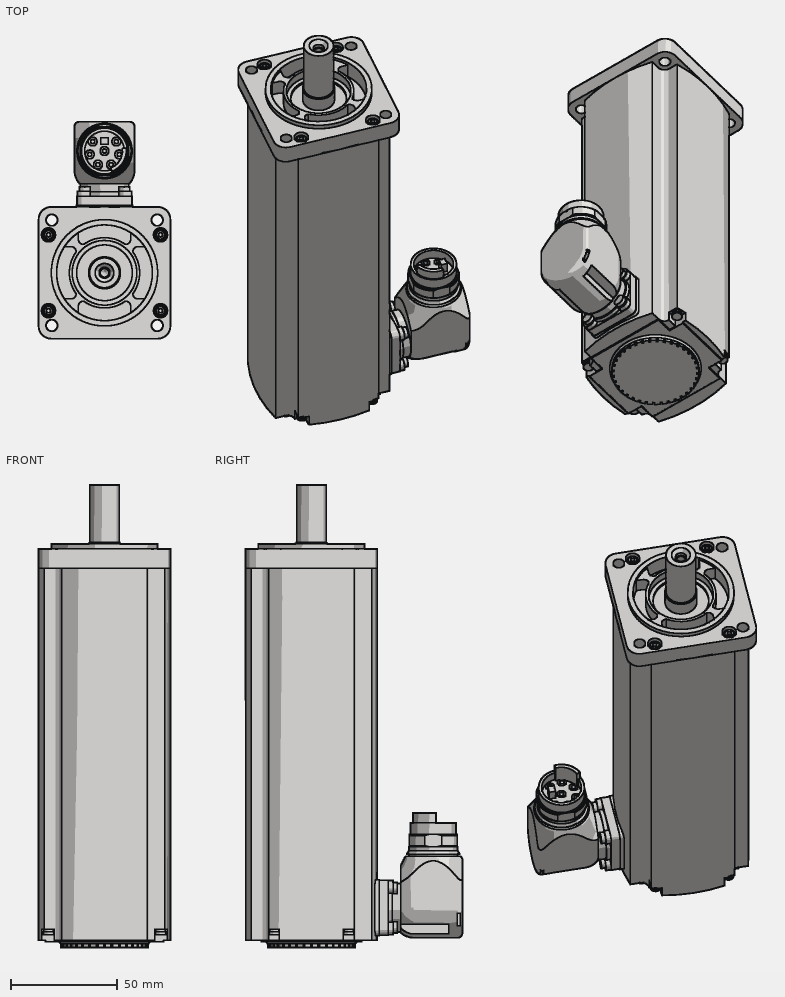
import cadquery as cq
import math


shaft_diameter = 14.0
shaft_length = 30.0
shaft_shoulder_diameter = 15.0
shaft_shoulder_height = 3.0
shoulder_chamfer = 0.45
center_cone_diameter = 8.8
center_bore_diameter = 5.1
center_cone_depth = 1.6
center_bore_depth = 3.5
center_drill_diameter = 4.13
center_drill_depth = 13.0
center_tip_depth = 14.2

flange_width = 62.0
flange_thickness = 9.2
flange_corner_radius = 6.0
mounting_hole_diameter = 5.3
mounting_circle_diameter = 70.0

pilot_diameter = 50.0
pilot_height = 2.3
recess_diameter = 45.0
recess_depth = 1.5
pocket_half_width = 12.3
pocket_end_x = 15.8
pocket_corner_radius = 2.5
pocket_depth = 9.0
hub_bore_radius = 15.2
hub_bore_depth = 6.0
seal_bore_radius = 13.1
seal_bore_depth = 7.0

tie_screw_x = 26.3
tie_screw_y = 17.8
tie_screw_bore = 6.6
tie_screw_bore_depth = 3.0
tie_screw_head = 5.2
tie_screw_head_drop = 0.8
tie_screw_head_chamfer = 0.6
tie_screw_socket = 1.99

total_height = 217.3
bottom_z = shaft_length - total_height
body_half_width = flange_width / 2
panel_half_width = 20.0
panel_edge_offset = 28.3
corner_fillet = 3.6
cap_height = 2.7
end_plate_thickness = 0.7
end_plate_half_width = 27.8
body_bottom_z = bottom_z + cap_height + end_plate_thickness

cap_diameter = 41.0
cap_top_diameter = 43.0
cap_taper_height = 1.0
cap_groove_count = 36
cap_groove_width = 0.8
cap_groove_depth = 1.0

foot_notch_width = 5.0
foot_notch_inner_x = 23.5
foot_notch_height = 5.3
foot_screw_diameter = 4.3
foot_screw_length = 2.6
foot_head_diameter = 4.8
foot_head_thickness = 1.2

housing_radius = 14.2
housing_outer_y = 71.0
housing_inner_y = 41.9
socket_y = 57.2
outlet_z = bottom_z + 18.7
housing_top_z = outlet_z + 24.2
housing_bottom_z = outlet_z - housing_radius
housing_edge_radius = 2.4
housing_taper_y = 48.0
housing_inner_half_width = 11.8

dome_top_radius = 13.0
dome_shoulder_radius = 13.6
dome_shoulder_drop = 1.0
dome_base_radius = 24.0
dome_base_drop = 21.5

tool_slot_y = (housing_inner_y, 64.4)
tool_slot_x = 7.0
tool_slot_levels = (-12.3, -7.7)
latch_slot_y = (68.5, 69.9)
latch_slot_levels = (-8.5, -2.7)
latch_slot_depth = 0.8

base_width = 26.0
base_corner_radius = 2.7
base_start_y = 28.0
gasket_end_y = 31.8
gasket_overhang = 0.2
base_end_y = 36.0
lug_end_y = 38.4
lug_inset = 0.2
lug_size = 6.0
lug_corner_radius = 2.5
outlet_screw_diameter = 5.3
outlet_screw_offset = 9.3
outlet_screw_end_y = 40.4
neck_diameter = 22.9
neck_ring_diameter = 24.4
neck_ring_end_y = 38.0

collar_diameter = 25.0
collar_base_height = 1.0
collar_taper_top = 2.6
collar_neck_height = 4.5
nut_diameter = 24.1
nut_flat_width = 22.7
nut_height = 5.7
nut_chamfer = 0.5
shell_diameter = 21.55
shell_height = 5.5
shell_bore_diameter = 18.6
shell_bore_depth = 5.0
shell_top_z = housing_top_z + collar_neck_height + nut_height + shell_height

pin_count = 7
pin_circle_radius = 7.1
pin_recess_diameter = 4.13
pin_recess_depth = 4.0
pin_diameter = 1.99
key_width = 3.6
key_length = 3.0
key_offset = 4.7
guard_outer_radius = 10.2
guard_inner_radius = 8.4
guard_height = 4.6
guard_start_angle = math.radians(-70)
guard_end_angle = math.radians(8)


def cylinder(diameter, z_low, z_high, x=0.0, y=0.0):
    """Cylinder along Z between two levels."""
    disc = cq.Workplane("XY", origin=(x, y, z_low)).circle(diameter / 2)
    return disc.extrude(z_high - z_low)


def block(x_range, y_range, z_range):
    """Axis-aligned box given by its limits."""
    size = [high - low for low, high in (x_range, y_range, z_range)]
    corner = (x_range[0], y_range[0], z_range[0])
    return cq.Workplane("XY").box(*size, centered=False).translate(corner)


def outlet_plane(y):
    """Sketch plane across the connector outlet; extrusions run toward +Y."""
    return cq.Workplane(cq.Plane(origin=(0, y, outlet_z), xDir=(-1, 0, 0), normal=(0, 1, 0)))


def polar(radius, angle):
    """Point at a radius and an angle in radians."""
    return radius * math.cos(angle), radius * math.sin(angle)


def four_corners(x, y):
    """The point and its mirror images in both axes."""
    return [(x, y), (-x, y), (-x, -y), (x, -y)]


def make_body():
    """Extruded body: four bulged panels joined by filleted re-entrant corners."""
    inner = panel_half_width
    edge = panel_edge_offset
    fillet_end = inner + corner_fillet
    fillet_mid = fillet_end - corner_fillet * math.sqrt(0.5)

    def turned(x, y, quarter):
        for _ in range(quarter):
            x, y = -y, x
        return x, y

    outline = cq.Workplane("XY", origin=(0, 0, body_bottom_z)).moveTo(edge, -inner)
    for quarter in range(4):
        outline = outline.threePointArc(turned(body_half_width, 0, quarter), turned(edge, inner, quarter))
        outline = outline.lineTo(*turned(fillet_end, inner, quarter))
        outline = outline.threePointArc(
            turned(fillet_mid, fillet_mid, quarter), turned(inner, fillet_end, quarter)
        )
        outline = outline.lineTo(*turned(inner, edge, quarter))
    return outline.close().extrude(-flange_thickness - body_bottom_z)


def cut_foot_notches(body):
    """Open the panel ends at the four lower tie screws and leave the screws standing."""
    notch_top = body_bottom_z + foot_notch_height
    notch_y = panel_half_width - foot_notch_width / 2
    screw_low = notch_top - foot_screw_length
    for x, y in four_corners(1, 1):
        notch = block(
            (foot_notch_inner_x, body_half_width),
            (notch_y - foot_notch_width / 2, notch_y + foot_notch_width / 2),
            (body_bottom_z, notch_top),
        )
        if x < 0:
            notch = notch.mirror("YZ")
        if y < 0:
            notch = notch.mirror("XZ")
        body = body.cut(notch)
        place = (x * tie_screw_x, y * notch_y)
        body = body.union(cylinder(foot_screw_diameter, screw_low, notch_top, *place))
        head_top = screw_low + foot_head_thickness
        body = body.union(cylinder(foot_head_diameter, screw_low, head_top, *place))
    return body


def make_end_cap():
    """Thin end plate and the round cap with a grooved rim under it."""
    plate_low = bottom_z + cap_height
    plate = make_end_plate(plate_low)
    cone = (
        cq.Workplane("XY", origin=(0, 0, plate_low))
        .circle(cap_top_diameter / 2)
        .workplane(offset=-cap_taper_height)
        .circle(cap_diameter / 2)
        .loft()
    )
    rim_top = plate_low - cap_taper_height
    cap = cone.union(cylinder(cap_diameter, bottom_z, rim_top))
    groove = block(
        (cap_diameter / 2 - cap_groove_depth, cap_diameter / 2 + cap_groove_depth),
        (-cap_groove_width / 2, cap_groove_width / 2),
        (bottom_z, rim_top),
    )
    for index in range(cap_groove_count):
        cap = cap.cut(groove.rotate((0, 0, 0), (0, 0, 1), index * 360 / cap_groove_count))
    return plate.union(cap)


def make_end_plate(plate_low):
    """Cross-shaped end plate, inside the body outline and clear of the foot notches."""
    width = 2 * end_plate_half_width
    length = 2 * (panel_half_width + corner_fillet)
    plane = cq.Workplane("XY", origin=(0, 0, plate_low))
    plate = plane.rect(width, 2 * (panel_half_width - foot_notch_width)).extrude(end_plate_thickness)
    other = plane.rect(2 * panel_half_width, length).extrude(end_plate_thickness)
    return plate.union(other)


def make_flange():
    """Square flange with rounded corners and a raised pilot."""
    flange = (
        cq.Workplane("XY", origin=(0, 0, -flange_thickness))
        .rect(flange_width, flange_width)
        .extrude(flange_thickness)
        .edges("|Z")
        .fillet(flange_corner_radius)
    )
    return flange.union(cylinder(pilot_diameter, 0, pilot_height))


def cut_flange_recess(part):
    """Stepped bore inside the pilot and four pockets separated by diagonal spokes."""
    recess_floor = pilot_height - recess_depth
    hub_floor = pilot_height - hub_bore_depth
    seal_floor = pilot_height - seal_bore_depth
    bore = (
        cq.Workplane("XZ")
        .moveTo(0, pilot_height)
        .lineTo(recess_diameter / 2, pilot_height)
        .lineTo(recess_diameter / 2, recess_floor)
        .lineTo(hub_bore_radius, recess_floor)
        .lineTo(hub_bore_radius, hub_floor)
        .lineTo(seal_bore_radius, hub_floor)
        .lineTo(seal_bore_radius, seal_floor)
        .lineTo(0, seal_floor)
        .close()
        .revolve(360, (0, 0, 0), (0, 1, 0))
    )
    part = part.cut(bore)

    pocket_floor = pilot_height - pocket_depth
    outer_x = math.sqrt((recess_diameter / 2) ** 2 - pocket_half_width**2)
    corner_y = pocket_half_width - pocket_corner_radius
    inner_x = pocket_end_x - pocket_corner_radius
    pocket_inner_radius = math.hypot(inner_x, corner_y)
    corner_mid_x = pocket_end_x - pocket_corner_radius * math.sqrt(0.5)
    corner_mid_y = corner_y + pocket_corner_radius * math.sqrt(0.5)
    pocket = (
        cq.Workplane("XY", origin=(0, 0, pocket_floor))
        .moveTo(outer_x, -pocket_half_width)
        .threePointArc((recess_diameter / 2, 0), (outer_x, pocket_half_width))
        .lineTo(pocket_end_x, pocket_half_width)
        .threePointArc((corner_mid_x, corner_mid_y), (inner_x, corner_y))
        .threePointArc((pocket_inner_radius, 0), (inner_x, -corner_y))
        .threePointArc((corner_mid_x, -corner_mid_y), (pocket_end_x, -pocket_half_width))
        .close()
        .extrude(recess_floor - pocket_floor)
    )
    for quarter in range(4):
        part = part.cut(pocket.rotate((0, 0, 0), (0, 0, 1), 90 * quarter))
    return part


def cut_flange_screws(part):
    """Through mounting holes, and counterbored tie screws with chamfered heads and round sockets."""
    hole_offset = mounting_circle_diameter / 2 * math.sqrt(0.5)
    for place in four_corners(hole_offset, hole_offset):
        part = part.cut(cylinder(mounting_hole_diameter, -flange_thickness, 0, *place))
    bore_floor = -tie_screw_bore_depth
    for place in four_corners(tie_screw_x, tie_screw_y):
        head = cylinder(tie_screw_head, bore_floor, -tie_screw_head_drop, *place)
        head = head.faces(">Z").chamfer(tie_screw_head_chamfer)
        head = head.cut(cylinder(tie_screw_socket, bore_floor, 0, *place))
        part = part.cut(cylinder(tie_screw_bore, bore_floor, 0, *place)).union(head)
    return part


def make_shaft():
    """Shaft with a shoulder at its root and a countersunk centre bore at its end."""
    shoulder = cylinder(shaft_shoulder_diameter, -flange_thickness, shaft_shoulder_height)
    shoulder = shoulder.faces(">Z").chamfer(shoulder_chamfer)
    shaft = shoulder.union(cylinder(shaft_diameter, -flange_thickness, shaft_length))
    bore = (
        cq.Workplane("XZ", origin=(0, 0, shaft_length))
        .lineTo(center_cone_diameter / 2, 0)
        .lineTo(center_bore_diameter / 2, -center_cone_depth)
        .lineTo(center_bore_diameter / 2, -center_bore_depth)
        .lineTo(center_drill_diameter / 2, -center_bore_depth)
        .lineTo(center_drill_diameter / 2, -center_drill_depth)
        .lineTo(0, -center_tip_depth)
        .close()
        .revolve(360, (0, 0, 0), (0, 1, 0))
    )
    return shaft.cut(bore)


def make_outlet():
    """Square connector base on the body, its corner lugs and screws, and the round neck."""
    gasket_width = base_width + 2 * gasket_overhang
    gasket = outlet_plane(base_start_y).rect(gasket_width, gasket_width)
    gasket = gasket.extrude(gasket_end_y - base_start_y).edges("|Y").fillet(base_corner_radius)
    base = outlet_plane(gasket_end_y).rect(base_width, base_width)
    base = base.extrude(base_end_y - gasket_end_y).edges("|Y").fillet(base_corner_radius)
    neck = outlet_plane(base_end_y).circle(neck_diameter / 2)
    neck = neck.extrude(housing_inner_y - base_end_y)
    ring = outlet_plane(base_end_y).circle(neck_ring_diameter / 2)
    ring = ring.extrude(neck_ring_end_y - base_end_y)
    outlet = gasket.union(base).union(neck).union(ring)

    lug_offset = (base_width - lug_size) / 2 - lug_inset
    lugs = outlet_plane(base_end_y).pushPoints(four_corners(lug_offset, lug_offset))
    lugs = lugs.rect(lug_size, lug_size).extrude(lug_end_y - base_end_y)
    lugs = lugs.edges("|Y").fillet(lug_corner_radius)
    screws = outlet_plane(lug_end_y).pushPoints(four_corners(outlet_screw_offset, outlet_screw_offset))
    screws = screws.circle(outlet_screw_diameter / 2).extrude(outlet_screw_end_y - lug_end_y)
    return outlet.union(lugs).union(screws)


def housing_half_plan():
    """Half of the housing outline seen along Z, drawn at the level of the outlet axis."""
    bulge_x = housing_radius - (housing_radius - housing_inner_half_width) / 4
    bulge_y = (housing_taper_y + housing_inner_y) / 2
    rounding = housing_edge_radius * (1 - math.sqrt(0.5))
    return (
        cq.Workplane("XY", origin=(0, 0, outlet_z))
        .moveTo(0, housing_inner_y)
        .lineTo(housing_inner_half_width, housing_inner_y)
        .threePointArc((bulge_x, bulge_y), (housing_radius, housing_taper_y))
        .lineTo(housing_radius, housing_outer_y - housing_edge_radius)
        .threePointArc(
            (housing_radius - rounding, housing_outer_y - rounding),
            (housing_radius - housing_edge_radius, housing_outer_y),
        )
        .lineTo(0, housing_outer_y)
        .close()
    )


def make_housing():
    """Elbow housing: one plan outline, extruded above the outlet axis and revolved below it."""
    upper_half = housing_half_plan().extrude(housing_top_z - outlet_z)
    upper = upper_half.union(upper_half.mirror("YZ"))
    lower_limits = (housing_bottom_z, outlet_z)
    across = (-housing_radius, housing_radius)
    lower = housing_half_plan().revolve(360, (0, 0, 0), (0, 1, 0))
    lower = lower.intersect(block(across, (housing_inner_y, housing_outer_y), lower_limits))
    dome_base_z = housing_top_z - dome_base_drop
    dome = (
        cq.Workplane("XZ", origin=(0, socket_y, 0))
        .moveTo(0, housing_top_z)
        .lineTo(dome_top_radius, housing_top_z)
        .lineTo(dome_shoulder_radius, housing_top_z - dome_shoulder_drop)
        .lineTo(dome_base_radius, dome_base_z)
        .lineTo(dome_base_radius, housing_bottom_z)
        .lineTo(0, housing_bottom_z)
        .close()
        .revolve(360, (0, 0, 0), (0, 1, 0))
    )
    return upper.union(lower).intersect(dome)


def cut_housing_slots(housing):
    """Screwdriver slots and small latch slots on both sides of the housing."""
    tool_z = [outlet_z + level for level in tool_slot_levels]
    latch_z = [outlet_z + level for level in latch_slot_levels]
    latch_x = housing_radius - housing_edge_radius - latch_slot_depth
    tool_slot = block((tool_slot_x, housing_radius), tool_slot_y, tool_z)
    latch_slot = block((latch_x, housing_radius), latch_slot_y, latch_z)
    for slot in (tool_slot, latch_slot):
        housing = housing.cut(slot).cut(slot.mirror("YZ"))
    return housing


def make_socket():
    """Collar, nut with four flats, and shell on top of the housing."""
    nut_low = housing_top_z + collar_neck_height
    nut_high = nut_low + nut_height
    collar_radius = collar_diameter / 2
    neck_radius = neck_diameter / 2
    collar = (
        cq.Workplane("XZ", origin=(0, socket_y, housing_top_z))
        .lineTo(neck_radius, 0)
        .lineTo(neck_radius, collar_base_height)
        .lineTo(collar_radius, collar_base_height)
        .lineTo(neck_radius, collar_taper_top)
        .lineTo(neck_radius, collar_neck_height)
        .lineTo(0, collar_neck_height)
        .close()
        .revolve(360, (0, 0, 0), (0, 1, 0))
    )
    nut = cylinder(nut_diameter, nut_low, nut_high, 0, socket_y).edges().chamfer(nut_chamfer)
    flat_side = (-nut_flat_width / 2, nut_flat_width / 2)
    flats = block(flat_side, flat_side, (nut_low, nut_high))
    nut = nut.intersect(flats.translate((0, socket_y, 0)))
    shell = cylinder(shell_diameter, nut_high, shell_top_z, 0, socket_y)
    return collar.union(nut).union(shell)


def cut_socket_face(socket):
    """Open the shell and form the contact pins, the key and the guard wall."""
    face_z = shell_top_z - shell_bore_depth
    recess_floor = face_z - pin_recess_depth
    socket = socket.cut(cylinder(shell_bore_diameter, face_z, shell_top_z, 0, socket_y))

    places = [(0, socket_y)]
    for index in range(1, pin_count):
        angle = math.radians(90 + index * 360 / pin_count)
        x, y = polar(pin_circle_radius, angle)
        places.append((x, socket_y + y))
    for place in places:
        socket = socket.cut(cylinder(pin_recess_diameter, recess_floor, face_z, *place))
        socket = socket.union(cylinder(pin_diameter, recess_floor, face_z, *place))

    key_y = socket_y + key_offset
    key = block(
        (-key_width / 2, key_width / 2),
        (key_y - key_length / 2, key_y + key_length / 2),
        (face_z, shell_top_z),
    )
    return socket.union(key).union(make_guard(face_z))


def make_guard(face_z):
    """Curved wall that rises above the shell over part of its rim."""
    middle = (guard_start_angle + guard_end_angle) / 2
    return (
        cq.Workplane("XY", origin=(0, socket_y, face_z))
        .moveTo(*polar(guard_inner_radius, guard_start_angle))
        .lineTo(*polar(guard_outer_radius, guard_start_angle))
        .threePointArc(polar(guard_outer_radius, middle), polar(guard_outer_radius, guard_end_angle))
        .lineTo(*polar(guard_inner_radius, guard_end_angle))
        .threePointArc(polar(guard_inner_radius, middle), polar(guard_inner_radius, guard_start_angle))
        .close()
        .extrude(shell_top_z + guard_height - face_z)
    )


flange = cut_flange_screws(cut_flange_recess(make_flange()))
body = cut_foot_notches(make_body()).union(make_end_cap())
motor = body.union(flange).union(make_shaft())
connector = cut_housing_slots(make_housing()).union(cut_socket_face(make_socket()))
result = motor.union(make_outlet()).union(connector)